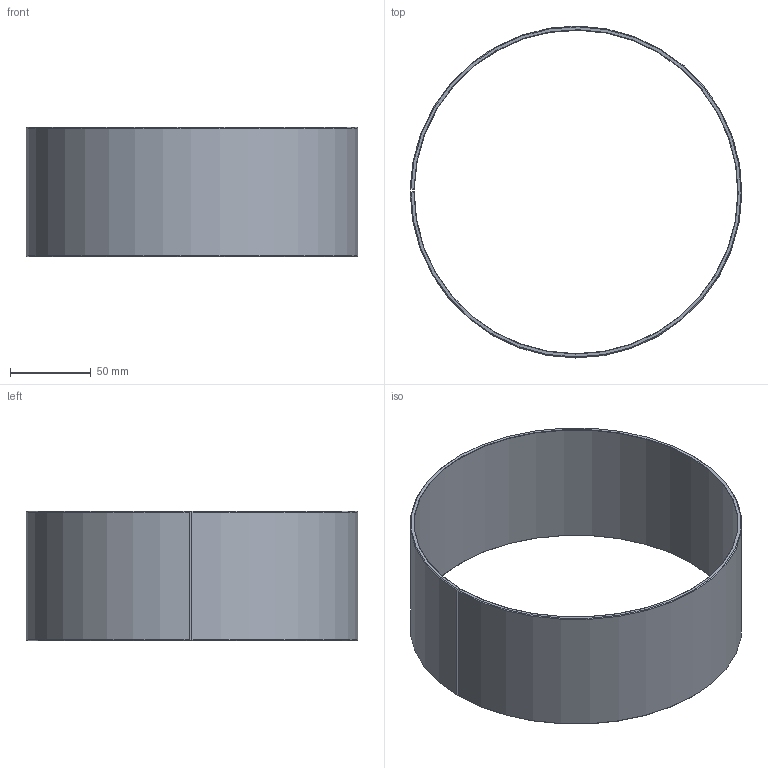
import cadquery as cq

outer_diameter = 205.0
wall_thickness = 2.5
height = 80.0
outer_chamfer = 0.5
inner_chamfer = 0.2
slit_angle = 1.0

outer_radius = outer_diameter / 2
inner_radius = outer_radius - wall_thickness
sweep_angle = 360.0 - slit_angle


def wall_section():
    """Radial section of the -X wall, with all four corners bevelled."""
    return (
        cq.Workplane("XZ")
        .moveTo(-(inner_radius + inner_chamfer), 0)
        .lineTo(-(outer_radius - outer_chamfer), 0)
        .lineTo(-outer_radius, outer_chamfer)
        .lineTo(-outer_radius, height - outer_chamfer)
        .lineTo(-(outer_radius - outer_chamfer), height)
        .lineTo(-(inner_radius + inner_chamfer), height)
        .lineTo(-inner_radius, height - inner_chamfer)
        .lineTo(-inner_radius, inner_chamfer)
        .close()
    )


def make_split_ring():
    """Sweep the wall counterclockwise from -X, leaving a narrow slit on the +Y side of -X."""
    axis_start = (0, 0, 0)
    axis_end = (0, 1, 0)
    return wall_section().revolve(sweep_angle, axis_start, axis_end)


result = make_split_ring()